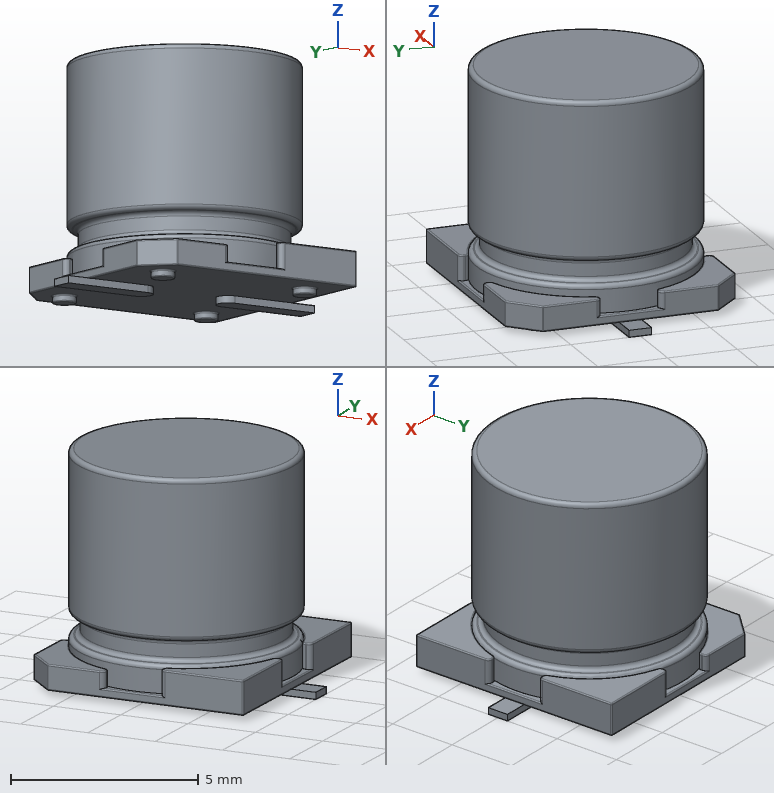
import cadquery as cq
import math

TOTAL_LENGTH = 8.0
TOTAL_HEIGHT = 6.4

BASE_SIDE = 6.6
BASE_BOTTOM = 0.2
LEDGE_TOP = 0.45
LOW_BLOCK_TOP = 0.92
HIGH_BLOCK_TOP = 1.17
CORNER_CHAMFER = 0.78
BLOCK_GAP = 1.67
BLOCK_TIP_RADIUS = 0.14
EDGE_RADIUS = 0.036
RECESS_OVERLAP = 0.01

CAN_RADIUS = 6.3 / 2
NECK_RADIUS = 5.69 / 2
GROOVE_BOTTOM = 1.25
GROOVE_TOP = 1.9
CAN_ROUND = 0.14

LEAD_WIDTH = 0.65
LEAD_INNER_END = 1.09
FOOT_RADIUS = 0.63 / 2
FOOT_OFFSET = 2.3
FOOT_FLARE = 0.04
FOOT_EDGE_RADIUS = 0.03

HALF_SIDE = BASE_SIDE / 2
DIAGONAL = math.sqrt(0.5)


def base_blank(top):
    """Square prism with both -X corners chamfered and the upright edges slightly rounded."""
    return (
        cq.Workplane("XY", origin=(0, 0, BASE_BOTTOM))
        .rect(BASE_SIDE, BASE_SIDE)
        .extrude(top - BASE_BOTTOM)
        .edges("|Z and <X")
        .chamfer(CORNER_CHAMFER)
        .edges("|Z")
        .fillet(EDGE_RADIUS)
    )


def ledge_plate():
    """Low plate under the whole part."""
    return base_blank(LEDGE_TOP).faces("<Z or >Z").edges().fillet(EDGE_RADIUS)


def corner_block(x_sign, y_sign, top):
    """One corner block, hollowed round the can, with rounded tips and rims."""
    height = top - BASE_BOTTOM
    near = BLOCK_GAP / 2
    middle = (near + HALF_SIDE) / 2
    quarter = (
        cq.Workplane("XY", origin=(0, 0, BASE_BOTTOM))
        .center(x_sign * middle, y_sign * middle)
        .rect(HALF_SIDE - near, HALF_SIDE - near)
        .extrude(height)
    )
    recess = (
        cq.Workplane("XY", origin=(0, 0, BASE_BOTTOM))
        .circle(CAN_RADIUS - RECESS_OVERLAP)
        .extrude(height)
    )
    block = base_blank(top).intersect(quarter).cut(recess)

    x_tip = "<X" if x_sign > 0 else ">X"
    y_tip = "<Y" if y_sign > 0 else ">Y"
    tip_edges = block.faces(f"{x_tip} or {y_tip}").edges("|Z")
    block = tip_edges.fillet(BLOCK_TIP_RADIUS)
    return block.faces("<Z or >Z").edges().fillet(EDGE_RADIUS)


def can():
    """Turned can with a rolled groove; profile in the XZ plane, revolved about Z."""
    reach = CAN_ROUND * DIAGONAL
    crest = CAN_RADIUS - CAN_ROUND
    root = NECK_RADIUS + CAN_ROUND

    def arc(profile, centre_r, centre_z, r_side, z_side, end):
        middle = (centre_r + r_side * reach, centre_z + z_side * reach)
        return profile.threePointArc(middle, end)

    low_outer = GROOVE_BOTTOM - CAN_ROUND
    low_neck = GROOVE_BOTTOM + CAN_ROUND
    high_neck = GROOVE_TOP - CAN_ROUND
    high_outer = GROOVE_TOP + CAN_ROUND
    top_outer = TOTAL_HEIGHT - CAN_ROUND
    buried_bottom = BASE_BOTTOM + EDGE_RADIUS

    profile = cq.Workplane("XZ").moveTo(0, buried_bottom)
    profile = profile.lineTo(CAN_RADIUS, buried_bottom).lineTo(CAN_RADIUS, low_outer)
    profile = arc(profile, crest, low_outer, 1, 1, (crest, GROOVE_BOTTOM))
    profile = profile.lineTo(root, GROOVE_BOTTOM)
    profile = arc(profile, root, low_neck, -1, -1, (NECK_RADIUS, low_neck))
    profile = profile.lineTo(NECK_RADIUS, high_neck)
    profile = arc(profile, root, high_neck, -1, 1, (root, GROOVE_TOP))
    profile = profile.lineTo(crest, GROOVE_TOP)
    profile = arc(profile, crest, high_outer, 1, -1, (CAN_RADIUS, high_outer))
    profile = profile.lineTo(CAN_RADIUS, top_outer)
    profile = arc(profile, crest, top_outer, 1, 1, (crest, TOTAL_HEIGHT))
    return profile.lineTo(0, TOTAL_HEIGHT).close().revolve(360, (0, 0, 0), (0, 1, 0))


def lead(x_sign):
    """Flat lead with a square outer end and a half-round inner end."""
    half_width = LEAD_WIDTH / 2
    outer = x_sign * TOTAL_LENGTH / 2
    round_centre = x_sign * (LEAD_INNER_END + half_width)
    return (
        cq.Workplane("XY")
        .moveTo(outer, -half_width)
        .lineTo(round_centre, -half_width)
        .threePointArc((x_sign * LEAD_INNER_END, 0), (round_centre, half_width))
        .lineTo(outer, half_width)
        .close()
        .extrude(BASE_BOTTOM)
    )


def feet():
    """List of four round feet with a rounded rim and a flare against the base."""
    offsets = (-FOOT_OFFSET, FOOT_OFFSET)
    flare_radius = FOOT_RADIUS + FOOT_FLARE
    flare_bottom = BASE_BOTTOM - FOOT_FLARE
    slant = FOOT_FLARE * DIAGONAL
    foot = (
        cq.Workplane("XZ")
        .lineTo(FOOT_RADIUS, 0)
        .lineTo(FOOT_RADIUS, flare_bottom)
        .threePointArc((flare_radius - slant, flare_bottom + slant), (flare_radius, BASE_BOTTOM))
        .lineTo(0, BASE_BOTTOM)
        .close()
        .revolve(360, (0, 0, 0), (0, 1, 0))
        .faces("<Z")
        .edges()
        .fillet(FOOT_EDGE_RADIUS)
    )
    return [foot.translate((x, y, 0)) for x in offsets for y in offsets]


base = ledge_plate()
for y_sign in (-1, 1):
    base = base.union(corner_block(-1, y_sign, LOW_BLOCK_TOP))
    base = base.union(corner_block(1, y_sign, HIGH_BLOCK_TOP))

result = base.union(can())
for foot in feet():
    result = result.union(foot)
for x_sign in (-1, 1):
    result = result.union(lead(x_sign))